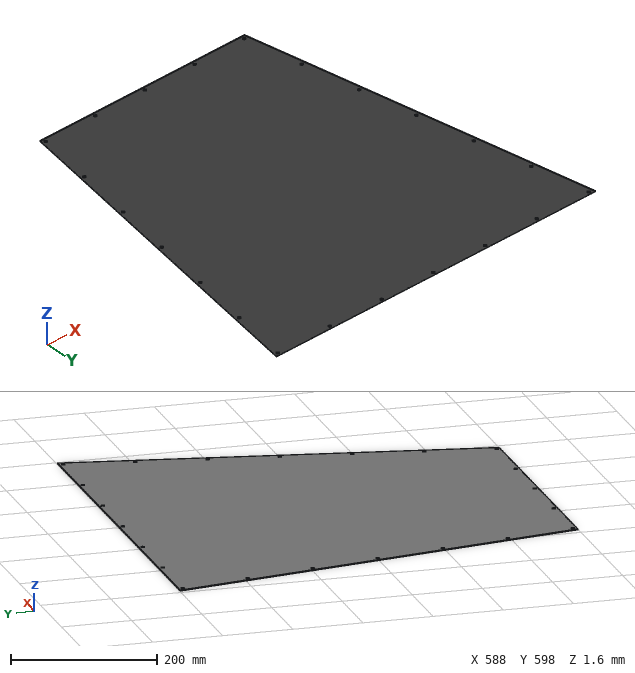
import cadquery as cq

length = 598.0
wide_end = 588.0
narrow_end = 377.0
thickness = 1.6
hole_diameter = 5.0

hole_edge_distance = 5.5
wide_row_y = length / 2 - hole_edge_distance
wide_row_half_span = 286.5
narrow_row_y = -wide_row_y
narrow_row_half_span = 183.0
wide_row_spaces = 6
narrow_row_spaces = 4
side_spaces = 6


def points_between(start, end, spaces):
    """Evenly spaced points from start to end, both included."""
    return [
        (
            start[0] + (end[0] - start[0]) * i / spaces,
            start[1] + (end[1] - start[1]) * i / spaces,
        )
        for i in range(spaces + 1)
    ]


def make_plate():
    """Flat symmetric trapezoid with its wide end towards +Y."""
    outline = [
        (-narrow_end / 2, -length / 2),
        (narrow_end / 2, -length / 2),
        (wide_end / 2, length / 2),
        (-wide_end / 2, length / 2),
    ]
    return cq.Workplane("XY").polyline(outline).close().extrude(thickness)


def hole_centres():
    """Rows along both ends and both slanted sides, sharing the corner holes."""
    wide_left = (-wide_row_half_span, wide_row_y)
    wide_right = (wide_row_half_span, wide_row_y)
    narrow_left = (-narrow_row_half_span, narrow_row_y)
    narrow_right = (narrow_row_half_span, narrow_row_y)
    ends = points_between(wide_left, wide_right, wide_row_spaces)
    ends += points_between(narrow_left, narrow_right, narrow_row_spaces)
    left_side = points_between(narrow_left, wide_left, side_spaces)[1:-1]
    right_side = points_between(narrow_right, wide_right, side_spaces)[1:-1]
    return ends + left_side + right_side


plate = make_plate()
top_face = plate.faces(">Z").workplane(origin=(0, 0, 0))
result = top_face.pushPoints(hole_centres()).hole(hole_diameter)